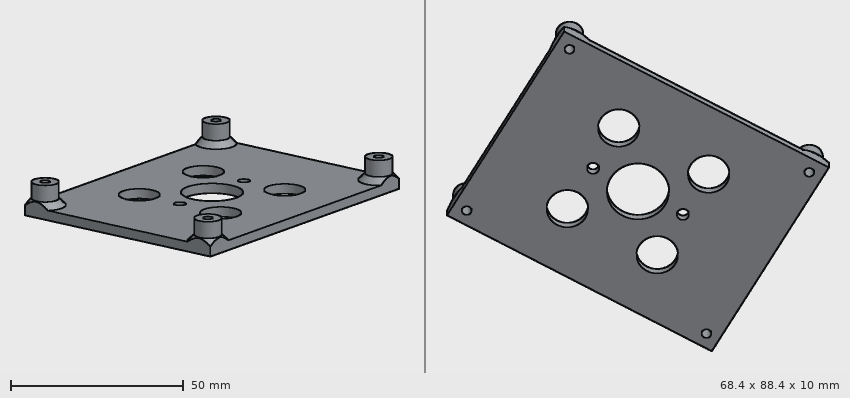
import cadquery as cq

plate_length_x = 68.38
plate_length_y = 88.38
plate_thickness = 3.0

total_height = 10.0
standoff_spacing_x = 60.0
standoff_spacing_y = 80.0
standoff_diameter = 8.0
screw_hole_diameter = 2.8
flare_base_diameter = 12.0
flare_height = 2.0

center_hole_diameter = 18.0
side_hole_diameter = 12.0
side_hole_spacing = 30.0
mount_hole_diameter = 3.5
mount_hole_spacing = 30.0


def plate_block(height):
    """Block with the plate's outline, standing on Z = 0."""
    return cq.Workplane("XY").rect(plate_length_x, plate_length_y).extrude(height)


def make_standoff():
    """Round post with a conical flare where it meets the plate, on the Z axis."""
    base_radius = flare_base_diameter / 2
    post_radius = standoff_diameter / 2
    return (
        cq.Workplane("XZ")
        .lineTo(base_radius, 0)
        .lineTo(base_radius, plate_thickness)
        .lineTo(post_radius, plate_thickness + flare_height)
        .lineTo(post_radius, total_height)
        .lineTo(0, total_height)
        .close()
        .revolve(360, (0, 0, 0), (0, 1, 0))
    )


def add_standoffs(body):
    """Place a standoff at each corner, trim the flares at the plate edges and drill through."""
    corners = cq.Workplane("XY").rect(standoff_spacing_x, standoff_spacing_y, forConstruction=True)
    standoff = make_standoff().val()
    standoffs = corners.vertices().eachpoint(lambda place: standoff.located(place))
    screw_holes = corners.vertices().circle(screw_hole_diameter / 2).extrude(total_height)
    return body.union(standoffs.intersect(plate_block(total_height))).cut(screw_holes)


def cut_openings(body):
    """Cut the centre opening, the four holes around it and the two mounting holes."""
    plane = cq.Workplane("XY")
    center_hole = plane.circle(center_hole_diameter / 2).extrude(plate_thickness)
    side_holes = (
        plane.rect(side_hole_spacing, side_hole_spacing, forConstruction=True)
        .vertices()
        .circle(side_hole_diameter / 2)
        .extrude(plate_thickness)
    )
    mount_holes = (
        plane.pushPoints([(0, -mount_hole_spacing / 2), (0, mount_hole_spacing / 2)])
        .circle(mount_hole_diameter / 2)
        .extrude(plate_thickness)
    )
    return body.cut(center_hole).cut(side_holes).cut(mount_holes)


result = cut_openings(add_standoffs(plate_block(plate_thickness)))